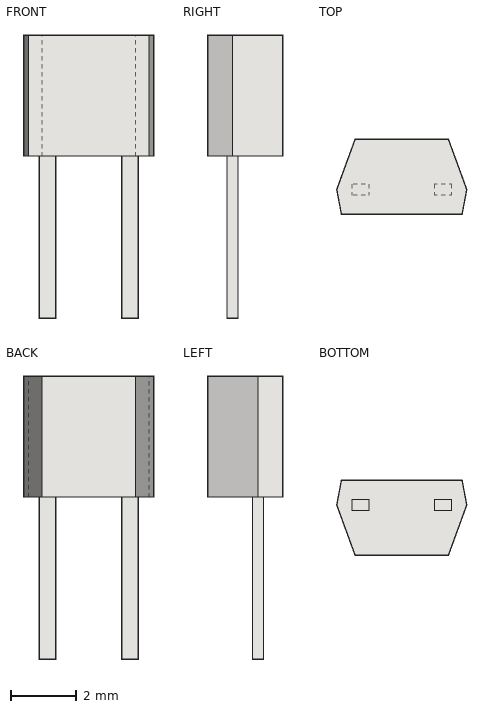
import cadquery as cq

total_height = 8.7

body_height = 3.715
body_depth = 2.31
widest_width = 4.0
front_width = 3.715
back_width = 2.87
front_to_widest = 0.765

lead_width = 0.51
lead_thickness = 0.35
lead_pitch = 2.54
lead_length = total_height - body_height

front_y = -front_to_widest
back_y = front_y + body_depth


def make_body():
    outline = [
        (-front_width / 2, front_y),
        (front_width / 2, front_y),
        (widest_width / 2, 0),
        (back_width / 2, back_y),
        (-back_width / 2, back_y),
        (-widest_width / 2, 0),
    ]
    return cq.Workplane("XY").polyline(outline).close().extrude(body_height)


def make_leads():
    return (
        cq.Workplane("XY")
        .pushPoints([(-lead_pitch / 2, 0), (lead_pitch / 2, 0)])
        .rect(lead_width, lead_thickness)
        .extrude(-lead_length)
    )


result = make_body().union(make_leads())